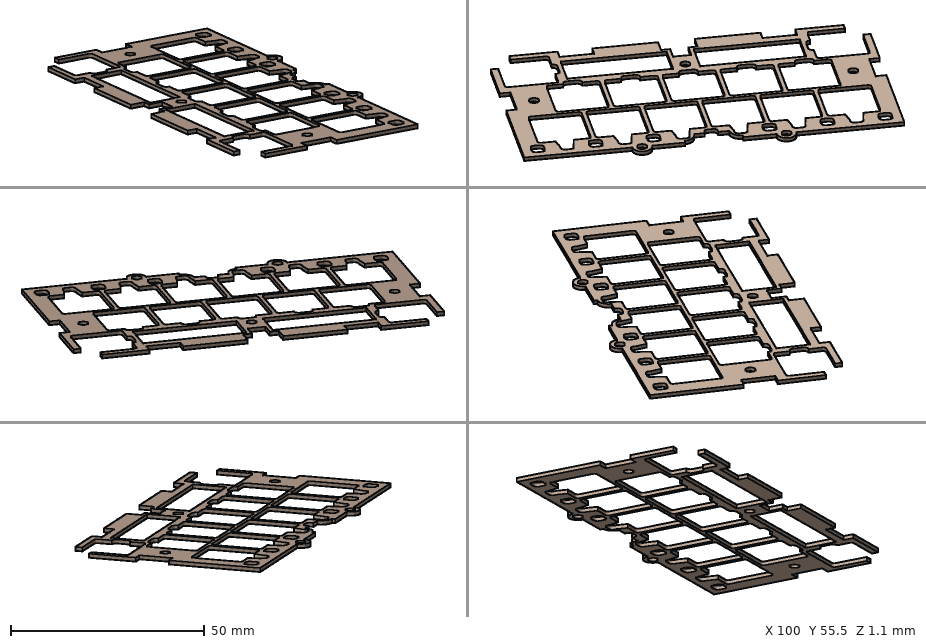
import cadquery as cq

plate_length = 100.0
plate_thickness = 1.1
half_length = plate_length / 2

window_size = 14.0
window_radius = 0.8
top_window_count = 6
middle_window_count = top_window_count - 1
top_row_span = 76.2
column_pitch = top_row_span / (top_window_count - 1)
row_pitch = 15.1
bottom_row_y = 8.9
middle_row_y = bottom_row_y + row_pitch
top_row_y = middle_row_y + row_pitch
corner_window_x = 41.0
half_window = window_size / 2

relief_width = 5.0
relief_depth = 1.3
relief_radius = 1.2

square_count = top_window_count + 1
square_size = 3.5
square_radius = 1.1
square_y = 49.0
flare_width = 4.8

hole_radius = 2.6 / 2
ear_radius = 2.6
ear_x = 19.0
side_hole_x = 42.0
center_hole_y = 12.5

rear_edge_y = 52.9
edge_notch_length = 9.1
edge_notch_depth = 2.8
side_notch_y = 23.3
front_notch_x = 26.7
arm_end_x = 44.0
arm_end_y = 5.9
front_step_x = 4.8
front_step_y = 4.1
front_recess_x = 2.4
front_recess_y = 8.1
shoulder_x = column_pitch / 2
shoulder_radius = 3.0

slot_length = 27.9
slot_width = 9.1
slot_x = 17.5
slot_y = 9.8


def prism(profile):
    """Extrude a closed profile through the plate thickness."""
    return profile.extrude(plate_thickness)


def rectangle(x, y, length, width):
    return prism(cq.Workplane("XY").center(x, y).rect(length, width))


def rounded_rectangle(x, y, length, width, radius):
    return rectangle(x, y, length, width).edges("|Z").fillet(radius)


def cylinder(x, y, radius):
    return prism(cq.Workplane("XY").center(x, y).circle(radius))


def window(x, y):
    return rounded_rectangle(x, y, window_size, window_size, window_radius)


def right_half_plate():
    """Right half of the outline, without windows or holes."""
    half = prism(
        cq.Workplane("XY")
        .moveTo(0, front_recess_y)
        .lineTo(front_recess_x, front_recess_y)
        .lineTo(front_recess_x, front_step_y)
        .lineTo(front_step_x, front_step_y)
        .lineTo(front_step_x, 0)
        .lineTo(arm_end_x, 0)
        .lineTo(arm_end_x, arm_end_y)
        .lineTo(half_length, arm_end_y)
        .lineTo(half_length, rear_edge_y)
        .lineTo(shoulder_x, rear_edge_y)
        .lineTo(shoulder_x, square_y)
        .lineTo(0, square_y)
        .close()
    )
    half = half.union(cylinder(shoulder_x, square_y, shoulder_radius))
    half = half.union(cylinder(ear_x, rear_edge_y, ear_radius))
    side_notch = rectangle(half_length, side_notch_y, 2 * edge_notch_depth, edge_notch_length)
    front_notch = rectangle(front_notch_x, 0, edge_notch_length, 2 * edge_notch_depth)
    return half.cut(side_notch).cut(front_notch)


def top_window(x):
    """Window with a flared opening toward the rear edge."""
    window_top = top_row_y + half_window
    opening_top = square_y + square_size / 2
    opening = prism(
        cq.Workplane("XY")
        .moveTo(x - flare_width / 2, window_top)
        .lineTo(x + flare_width / 2, window_top)
        .lineTo(x + square_size / 2, square_y)
        .lineTo(x + square_size / 2, opening_top)
        .lineTo(x - square_size / 2, opening_top)
        .lineTo(x - square_size / 2, square_y)
        .close()
    )
    opening = opening.edges("|Z and >Y").fillet(square_radius)
    return window(x, top_row_y).union(opening)


def middle_window(x):
    """Window with a rounded relief on its front edge."""
    relief = rounded_rectangle(
        x, middle_row_y - half_window, relief_width, 2 * relief_depth, relief_radius
    )
    return window(x, middle_row_y).union(relief)


def corner_window(side):
    """Window with a rounded relief on the edge facing the plate centre."""
    relief = rounded_rectangle(
        side * (corner_window_x - half_window), bottom_row_y,
        2 * relief_depth, relief_width, relief_radius
    )
    return window(side * corner_window_x, bottom_row_y).union(relief)


def column_positions(count):
    """X positions of a row of features at the column pitch, centred on X = 0."""
    return [(i - (count - 1) / 2) * column_pitch for i in range(count)]


right_half = right_half_plate()
plate = right_half.union(right_half.mirror("YZ"))

for x in column_positions(top_window_count):
    plate = plate.cut(top_window(x))

for x in column_positions(middle_window_count):
    plate = plate.cut(middle_window(x))

for x in column_positions(square_count):
    plate = plate.cut(rounded_rectangle(x, square_y, square_size, square_size, square_radius))

for side in (-1, 1):
    plate = plate.cut(corner_window(side))
    plate = plate.cut(rectangle(side * slot_x, slot_y, slot_length, slot_width))
    plate = plate.cut(cylinder(side * ear_x, rear_edge_y, hole_radius))
    plate = plate.cut(cylinder(side * side_hole_x, middle_row_y, hole_radius))

plate = plate.cut(cylinder(0, center_hole_y, hole_radius))

result = plate